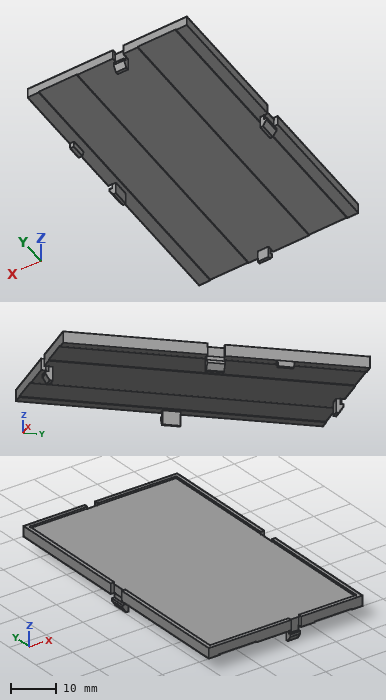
import cadquery as cq

WIDTH = 41.8
LENGTH = 69.9
HEIGHT = 5.9

plate_thickness = 2.65
rim_width = 1.0
rim_height = 0.5
groove_depth = 0.2
groove_inner_x = 8.0
groove_outer_x = 17.95
groove_width = groove_outer_x - groove_inner_x

clip_thickness = 1.0
side_clip_width = 4.05
end_clip_width = 2.7
end_clip_offset = 2.9
hook_tip_inset = 0.3
hook_top_depth = 3.8
hook_tip_bottom_depth = 4.4
hook_toe_inset = 1.25

tab_length = 3.9
tab_y = 15.9
tab_height = 1.3
tab_taper = 0.2


def clip_profile(plane, edge):
    """Sketch a hooked clip in a plane whose first axis points out past the given plate edge."""
    stem_outer = edge - rim_width
    stem_inner = stem_outer - clip_thickness
    return (
        cq.Workplane(plane)
        .moveTo(stem_inner, -plate_thickness)
        .lineTo(stem_outer, -plate_thickness)
        .lineTo(stem_outer, -hook_top_depth)
        .lineTo(edge - hook_tip_inset, -hook_top_depth)
        .lineTo(edge - hook_tip_inset, -hook_tip_bottom_depth)
        .lineTo(edge - hook_toe_inset, -HEIGHT)
        .lineTo(stem_inner, -HEIGHT)
        .close()
    )


def make_side_clip(side):
    """Separate clip under the -X (side = -1) or +X (side = 1) edge."""
    clip = clip_profile("XZ", WIDTH / 2).extrude(side_clip_width / 2, both=True)
    turn = 0 if side > 0 else 180
    return clip.rotate((0, 0, 0), (0, 0, 1), turn)


def make_end_clip(side):
    """Clip moulded on the -Y (side = -1) or +Y (side = 1) end of the plate."""
    clip = clip_profile("YZ", LENGTH / 2).extrude(end_clip_width / 2, both=True)
    turn = 0 if side > 0 else 180
    return clip.translate((-end_clip_offset, 0, 0)).rotate((0, 0, 0), (0, 0, 1), turn)


def plate_block(x_size, y_size, x, y):
    """Full-height block used to cut a rim notch centred at x, y."""
    return (
        cq.Workplane("XY")
        .box(x_size, y_size, plate_thickness, centered=(True, True, False))
        .translate((x, y, -plate_thickness))
    )


def make_cover():
    """Rimmed plate with notches, underside grooves and the two end clips."""
    cover = plate_block(WIDTH, LENGTH, 0, 0)
    recess = cq.Workplane("XY").rect(WIDTH - 2 * rim_width, LENGTH - 2 * rim_width)
    cover = cover.cut(recess.extrude(-rim_height))

    for side in (-1, 1):
        notch_x = side * (WIDTH - rim_width) / 2
        notch_y = side * (LENGTH - rim_width) / 2
        cover = cover.cut(plate_block(rim_width, side_clip_width, notch_x, 0))
        cover = cover.cut(plate_block(end_clip_width, rim_width, -side * end_clip_offset, notch_y))

        groove = cq.Workplane("XY").box(groove_width, LENGTH, groove_depth, centered=(True, True, False))
        groove_x = side * (groove_inner_x + groove_outer_x) / 2
        cover = cover.cut(groove.translate((groove_x, 0, -plate_thickness)))

    for side in (-1, 1):
        cover = cover.union(make_end_clip(side))
    return cover


def make_tab():
    """Locating tab with tapered ends and inner face, flush with the +X edge."""
    half_length = tab_length / 2
    bottom_half_length = half_length - tab_taper
    outer_x = WIDTH / 2
    bottom_inner_x = outer_x - rim_width
    top_inner_x = bottom_inner_x - tab_taper
    bottom_z = -plate_thickness - tab_height
    end_tapered = (
        cq.Workplane("YZ", origin=(top_inner_x, tab_y, 0))
        .moveTo(-half_length, -plate_thickness)
        .lineTo(half_length, -plate_thickness)
        .lineTo(bottom_half_length, bottom_z)
        .lineTo(-bottom_half_length, bottom_z)
        .close()
        .extrude(outer_x - top_inner_x)
    )
    inner_tapered = (
        cq.Workplane("XZ", origin=(0, tab_y, 0))
        .moveTo(top_inner_x, -plate_thickness)
        .lineTo(outer_x, -plate_thickness)
        .lineTo(outer_x, bottom_z)
        .lineTo(bottom_inner_x, bottom_z)
        .close()
        .extrude(half_length, both=True)
    )
    return end_tapered.intersect(inner_tapered).solids()


cover = make_cover()
side_clips = [make_side_clip(side) for side in (-1, 1)]
tab = make_tab()

result = cq.Compound.makeCompound([cover.val(), *[clip.val() for clip in side_clips], tab.val()])